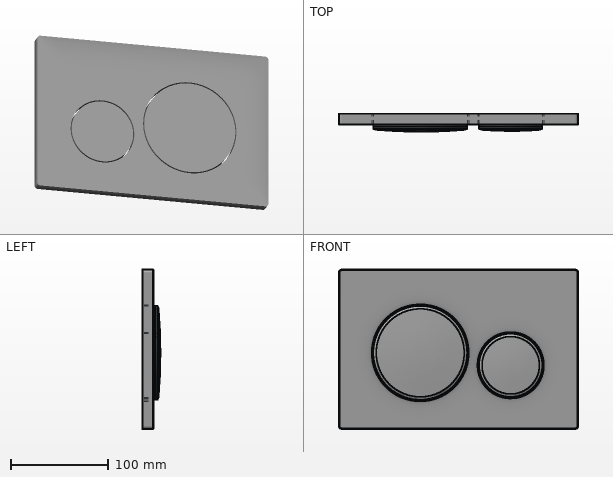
import cadquery as cq

PLATE_WIDTH = 246.0
PLATE_HEIGHT = 164.0
PLATE_THICKNESS = 11.5
CORNER_RADIUS = 3.2
FRONT_CHAMFER = 0.7

LARGE_BUTTON = {"x": -39.4, "z": -3.7, "hole_radius": 49.7, "apex": 7.1}
SMALL_BUTTON = {"x": 53.6, "z": -16.5, "hole_radius": 34.0, "apex": 6.5}
BUTTONS = [LARGE_BUTTON, SMALL_BUTTON]

HOLE_GAP = 1.2
RING_WIDTH = 3.2
SHOULDER_HEIGHT = 1.7
RIM_END = 4.0
RING_TOP = 5.2


def make_plate():
    """Rounded plate with a softened front edge and one hole per button."""
    plate = (
        cq.Workplane("XZ")
        .rect(PLATE_WIDTH, PLATE_HEIGHT)
        .extrude(-PLATE_THICKNESS)
        .edges("|Y")
        .fillet(CORNER_RADIUS)
        .faces("<Y")
        .chamfer(FRONT_CHAMFER)
    )
    for button in BUTTONS:
        hole = (
            cq.Workplane("XZ")
            .center(button["x"], button["z"])
            .circle(button["hole_radius"])
            .extrude(-PLATE_THICKNESS)
        )
        plate = plate.cut(hole)
    return plate


def revolve_on_button(profile, button):
    """Turn a closed (radius, -height) profile about the button's axis."""
    turned = profile.close().revolve(360, (0, 0, 0), (0, 1, 0))
    return turned.translate((button["x"], 0, button["z"]))


def make_ring(button):
    """Trim ring on the cap's shoulder: a straight rim and a sloping front."""
    outer = button["hole_radius"] - HOLE_GAP
    inner = outer - RING_WIDTH
    profile = (
        cq.Workplane("XY")
        .moveTo(inner, -SHOULDER_HEIGHT)
        .lineTo(outer, -SHOULDER_HEIGHT)
        .lineTo(outer, -RIM_END)
        .lineTo(inner, -RING_TOP)
    )
    return revolve_on_button(profile, button)


def make_cap(button):
    """Round cap with a shoulder for the ring and a spherical front inside it."""
    outer = button["hole_radius"] - HOLE_GAP
    radius = outer - RING_WIDTH
    rise = button["apex"] - RING_TOP
    sphere_radius = (radius**2 + rise**2) / (2 * rise)
    mid_radius = radius / 2
    sphere_center = button["apex"] - sphere_radius
    mid_height = sphere_center + (sphere_radius**2 - mid_radius**2) ** 0.5
    profile = (
        cq.Workplane("XY")
        .moveTo(0, PLATE_THICKNESS)
        .lineTo(outer, PLATE_THICKNESS)
        .lineTo(outer, -SHOULDER_HEIGHT)
        .lineTo(radius, -SHOULDER_HEIGHT)
        .lineTo(radius, -RING_TOP)
        .threePointArc((mid_radius, -mid_height), (0, -button["apex"]))
    )
    return revolve_on_button(profile, button)


plate = make_plate()
rings = [make_ring(button) for button in BUTTONS]
caps = [make_cap(button) for button in BUTTONS]

result = cq.Compound.makeCompound([plate.val()] + [body.val() for body in rings + caps])